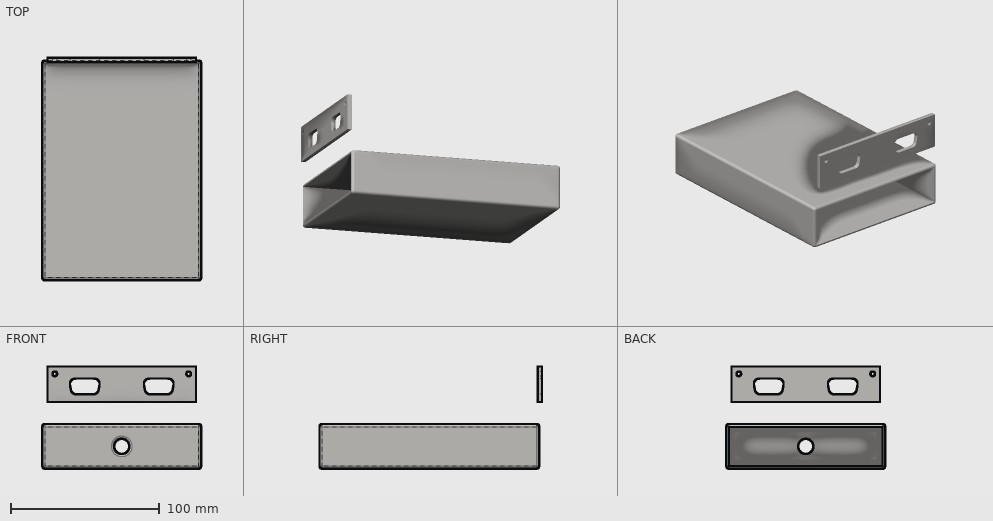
import cadquery as cq
import math

housing_width = 107.0
housing_length = 147.9
housing_height = 30.1
wall = 2.0
edge_radius = wall

cable_hole_diameter = 10.0
cable_hole_rounding = wall

plate_width = 100.0
plate_height = 24.1
plate_thickness = 3.0
overall_length = 149.8
overall_height = 68.9
plate_rear = overall_length
plate_top = overall_height

screw_hole_diameter = 3.0
screw_spacing = 90.0
screw_drop = 5.1

window_spacing = 49.7
window_mid_width = 19.3
window_height = 10.3
window_drop = 8.4
window_corner_radius = 3.5
window_side_tilt = 10.0


def make_housing():
    """Rounded box with a cavity open to the rear and a cable hole in front."""
    box = cq.Workplane("XY").box(
        housing_width, housing_length, housing_height, centered=(True, False, False)
    ).edges().fillet(edge_radius)
    cavity = cq.Workplane("XY").box(
        housing_width - 2 * wall,
        housing_length - wall,
        housing_height - 2 * wall,
        centered=(True, False, False),
    ).translate((0, wall, wall))
    return box.cut(cavity).cut(make_cable_hole_cutter())


def make_cable_hole_cutter():
    """Revolved cutter: a bore that flares out in a quarter round at the front face."""
    bore_radius = cable_hole_diameter / 2
    mouth_radius = bore_radius + cable_hole_rounding
    arc_inset = cable_hole_rounding * (1 - math.sqrt(0.5))
    profile = (
        cq.Workplane("XY")
        .lineTo(mouth_radius, 0)
        .threePointArc((bore_radius + arc_inset, arc_inset), (bore_radius, cable_hole_rounding))
        .lineTo(0, wall)
        .close()
    )
    cutter = profile.revolve(360, (0, 0, 0), (0, 1, 0))
    return cutter.translate((0, 0, housing_height / 2))


def make_window_cutter(center_x):
    """Rounded trapezoid that passes through the plate."""
    top = plate_top - window_drop
    bottom = top - window_height
    side_shift = window_height / 2 * math.tan(math.radians(window_side_tilt))
    half_top = window_mid_width / 2 + side_shift
    half_bottom = window_mid_width / 2 - side_shift
    return (
        cq.Workplane("XZ", origin=(center_x, plate_rear, 0))
        .moveTo(-half_top, top)
        .lineTo(half_top, top)
        .lineTo(half_bottom, bottom)
        .lineTo(-half_bottom, bottom)
        .close()
        .extrude(plate_thickness)
        .edges("|Y")
        .fillet(window_corner_radius)
    )


def make_end_plate():
    """Flat plate with two screw holes and two connector windows."""
    plate = cq.Workplane("XY").box(
        plate_width, plate_thickness, plate_height, centered=(True, False, False)
    ).translate((0, plate_rear - plate_thickness, plate_top - plate_height))
    for side in (-1, 1):
        screw_hole = (
            cq.Workplane("XZ", origin=(side * screw_spacing / 2, plate_rear, plate_top - screw_drop))
            .circle(screw_hole_diameter / 2)
            .extrude(plate_thickness)
        )
        plate = plate.cut(screw_hole)
        plate = plate.cut(make_window_cutter(side * window_spacing / 2))
    return plate


housing = make_housing()
end_plate = make_end_plate()

result = cq.Compound.makeCompound([housing.val(), end_plate.val()])